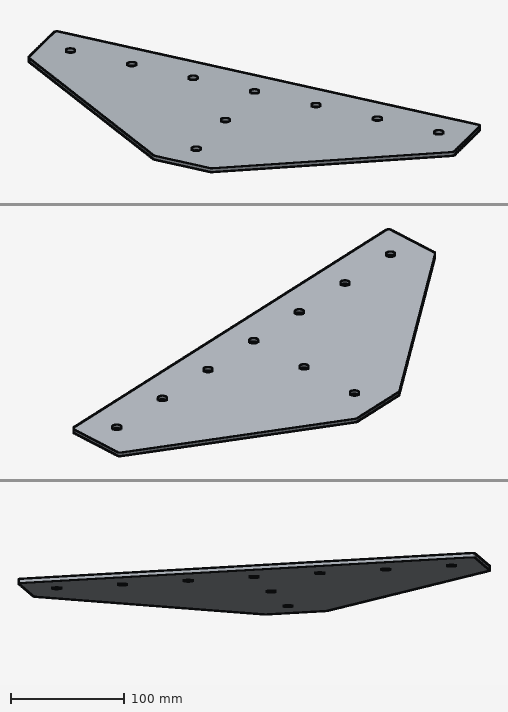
import cadquery as cq

thickness = 4.0
hole_pitch = 60.0
row_hole_count = 7
stem_hole_count = 2
edge_margin = 28.0
hole_diameter = 8.2
corner_radius = 3.0

bar_width = 2 * edge_margin
half_length = (row_hole_count - 1) * hole_pitch / 2 + edge_margin
half_stem = edge_margin
depth = stem_hole_count * hole_pitch + 2 * edge_margin
back_y = depth / 2
front_y = -depth / 2
hole_row_y = back_y - edge_margin


def plate_blank():
    """Flat plate with a tapered front and rounded corners."""
    outline = [
        (-half_length, back_y),
        (half_length, back_y),
        (half_length, back_y - bar_width),
        (half_stem, front_y),
        (-half_stem, front_y),
        (-half_length, back_y - bar_width),
    ]
    blank = cq.Workplane("XY").polyline(outline).close().extrude(thickness)
    return blank.edges("|Z").fillet(corner_radius)


def hole_centres():
    """Holes along the crossbar, then down the stem from the middle one."""
    first_x = -half_length + edge_margin
    row = [(first_x + i * hole_pitch, hole_row_y) for i in range(row_hole_count)]
    stem = [(0, hole_row_y - i * hole_pitch) for i in range(1, stem_hole_count + 1)]
    return row + stem


def hole_cutters():
    """Cylinders through the full thickness at every hole centre."""
    return cq.Workplane("XY").pushPoints(hole_centres()).circle(hole_diameter / 2).extrude(thickness)


result = plate_blank().cut(hole_cutters())